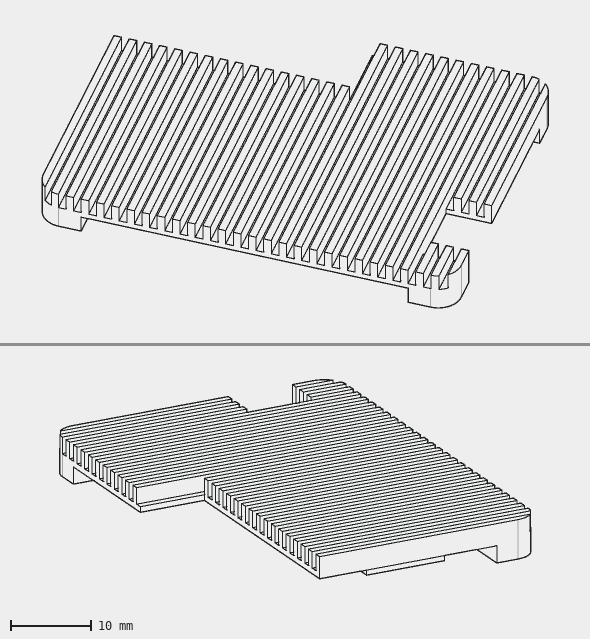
import cadquery as cq

length = 55.0
width = 40.0
height = 5.3
corner_radius = 3.0

fin_height = 2.2
plate_thickness = 0.75
plate_top = height - fin_height
plate_bottom = plate_top - plate_thickness

fin_count = 28
fin_width = length / (2 * fin_count - 1)
fin_pitch = 2 * fin_width

fins_in_rear_notch = 15
rear_notch_length = fins_in_rear_notch * fin_pitch + fin_width
rear_notch_depth = 9.0

foot_size = 3 * fin_pitch
rear_foot_radius = 2.25

side_notch_depth = foot_size
side_notch_width = 9.0

small_pad_size = 11.0
small_pad_left = 1.2
small_pad_front = 12.7
small_pad_drop = 1.2
large_pad_length = 13.5
large_pad_width = 9.9
large_pad_left = 16.35
large_pad_front = 3.0
large_pad_drop = 1.4


def block(x_range, y_range, z_range):
    """Box spanning the given (low, high) range along each axis."""
    ranges = (x_range, y_range, z_range)
    size = [high - low for low, high in ranges]
    corner = tuple(low for low, high in ranges)
    return cq.Workplane("XY").box(*size, centered=False).translate(corner)


def rounded_envelope():
    """Full-height body with every corner rounded except the rear left one."""
    body = block((0, length), (0, width), (0, height))
    front_edges = body.edges("|Z").edges("<Y")
    rear_right_edge = body.edges("|Z").edges(">Y").edges(">X")
    return body.newObject(front_edges.vals() + rear_right_edge.vals()).fillet(corner_radius)


def feet():
    """Feet at both front corners and the rear right corner; the rear one has a rounded inner edge."""
    z_range = (0, plate_bottom)
    right = (length - foot_size, length)
    front = (0, foot_size)
    rear_foot = block(right, (width - foot_size, width), z_range)
    rear_foot = rear_foot.edges("|Z").edges("<X").edges("<Y").fillet(rear_foot_radius)
    front_left_foot = block((0, foot_size), front, z_range)
    front_right_foot = block(right, front, z_range)
    return front_left_foot.union(front_right_foot).union(rear_foot)


def grooves():
    """Full-depth grooves between neighbouring fins."""
    first = block((fin_width, fin_pitch), (0, width), (plate_top, height))
    cutters = cq.Workplane("XY")
    for index in range(fin_count - 1):
        cutters = cutters.union(first.translate((index * fin_pitch, 0, 0)))
    return cutters


def notches():
    """Rear left notch and right side notch, both through the whole height."""
    rear = block((0, rear_notch_length), (width - rear_notch_depth, width), (0, height))
    side = block(
        (length - side_notch_depth, length),
        (foot_size, foot_size + side_notch_width),
        (0, height),
    )
    return rear.union(side)


def pads():
    """Two contact pads hanging from the plate."""
    small = block(
        (small_pad_left, small_pad_left + small_pad_size),
        (small_pad_front, small_pad_front + small_pad_size),
        (plate_bottom - small_pad_drop, plate_bottom),
    )
    large = block(
        (large_pad_left, large_pad_left + large_pad_length),
        (large_pad_front, large_pad_front + large_pad_width),
        (plate_bottom - large_pad_drop, plate_bottom),
    )
    return small.union(large)


slab = block((0, length), (0, width), (plate_bottom, height))
body = slab.union(feet()).intersect(rounded_envelope())
result = body.cut(grooves()).cut(notches()).union(pads())